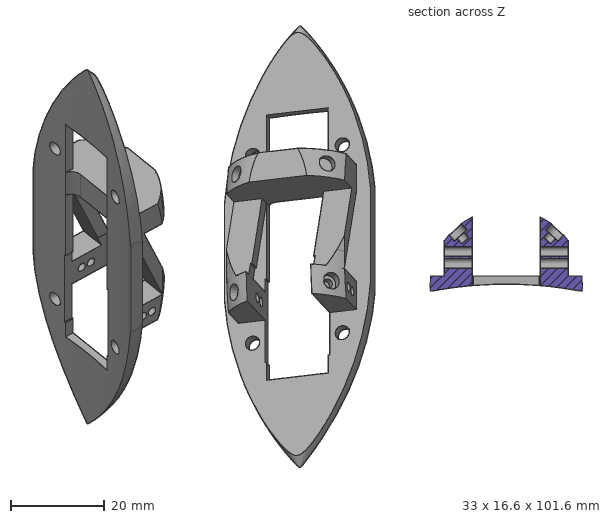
import cadquery as cq
import math

hull_axis_y = -2.03
hull_max_radius = 16.81
hull_straight_half = 6.2
hull_arc_radius = 68.29

plate_width = 33.02
plate_length = 101.6
edge_thickness = 3.302
centre_thickness = 1.8
land_inner_x = 15.9
mount_hole_diameter = 3.175
mount_hole_x = 10.16
mount_hole_z = 21.59

window_half_width = 6.985
window_half_height = 30.48
relief_half_width = 7.3
relief_top_z = -7.2
relief_bottom_z = -26.4

arm_half_width = 13.335
arm_back_y = 13.335
arm_inner_z = 10.16
arm_outer_z = 16.66
arm_height = arm_outer_z - arm_inner_z
arm_mid_z = (arm_inner_z + arm_outer_z) / 2
arm_fillet_radius = 2.45
brace_front_reach = 8.15
brace_depth = 3.05

pocket_diameter = 3.6
pocket_depth = 1.9
upper_pocket_angle = 51
lower_pocket_angle = 47.5
pilot_diameter = 2.03
pilot_depth = 1.5
cross_hole_diameter = 2.03
cross_hole_ys = (2.7, 5.24)


def block(x_range, y_range, z_range):
    """Axis-aligned box between the given limits."""
    (x0, x1), (y0, y1), (z0, z1) = x_range, y_range, z_range
    return cq.Workplane("XY").box(x1 - x0, y1 - y0, z1 - z0, centered=False).translate((x0, y0, z0))


def hull_radius(z):
    """Hull radius at height z."""
    along_arc = max(abs(z) - hull_straight_half, 0)
    return hull_max_radius - hull_arc_radius + math.sqrt(hull_arc_radius**2 - along_arc**2)


def make_hull():
    tip_rise = math.sqrt(hull_arc_radius**2 - (hull_arc_radius - hull_max_radius) ** 2)
    tip_z = hull_straight_half + tip_rise
    middle_z = (hull_straight_half + tip_z) / 2
    arc_middle = (hull_radius(middle_z), middle_z)
    profile = (
        cq.Workplane("XZ")
        .moveTo(0, -tip_z)
        .threePointArc((arc_middle[0], -arc_middle[1]), (hull_max_radius, -hull_straight_half))
        .lineTo(hull_max_radius, hull_straight_half)
        .threePointArc(arc_middle, (0, tip_z))
        .close()
    )
    return profile.revolve(360, (0, 0, 0), (0, 1, 0)).translate((0, hull_axis_y, 0))


def make_front_section():
    """XY section of the plate: flat back, concave front with a flat land at each side."""
    half_width = plate_width / 2
    return (
        cq.Workplane("XY", origin=(0, 0, -plate_length / 2))
        .moveTo(-half_width, 0)
        .lineTo(-half_width, -edge_thickness)
        .lineTo(-land_inner_x, -edge_thickness)
        .threePointArc((0, -centre_thickness), (land_inner_x, -edge_thickness))
        .lineTo(half_width, -edge_thickness)
        .lineTo(half_width, 0)
        .close()
        .extrude(plate_length)
    )


def make_plate():
    window = block(
        (-window_half_width, window_half_width),
        (-edge_thickness, 0),
        (-window_half_height, window_half_height),
    )
    mount_holes = (
        cq.Workplane("XZ")
        .rect(2 * mount_hole_x, 2 * mount_hole_z, forConstruction=True)
        .vertices()
        .circle(mount_hole_diameter / 2)
        .extrude(edge_thickness)
    )
    return make_front_section().cut(window).cut(mount_holes)


def make_arm_fillet(side):
    """Concave fillet between the upper arm and one window side, trimmed to the plate section."""
    r = arm_fillet_radius
    wall_x = side * window_half_width
    centre_x = side * (window_half_width - r)
    arc_middle = (centre_x + side * r * math.cos(math.pi / 4), -r + r * math.cos(math.pi / 4))
    fillet = (
        cq.Workplane("XY", origin=(0, 0, arm_inner_z))
        .moveTo(wall_x, 0)
        .lineTo(centre_x, 0)
        .threePointArc(arc_middle, (wall_x, -r))
        .close()
        .extrude(arm_height)
    )
    return fillet.intersect(make_front_section())


def make_upper_arm():
    return block(
        (-arm_half_width, arm_half_width), (0, arm_back_y), (arm_inner_z, arm_outer_z)
    )


def make_side_frame(side):
    """Lower arm on one side and the sloping brace joining it to the upper arm."""
    x_range = sorted((side * window_half_width, side * arm_half_width))
    lower_arm = block(x_range, (0, arm_back_y), (-arm_outer_z, -arm_inner_z))
    brace_outline = [
        (0, arm_inner_z),
        (brace_depth, arm_inner_z),
        (brace_front_reach + brace_depth, -arm_inner_z),
        (brace_front_reach, -arm_inner_z),
    ]
    brace = (
        cq.Workplane("YZ", origin=(x_range[0], 0, 0))
        .polyline(brace_outline)
        .close()
        .extrude(x_range[1] - x_range[0])
    )
    return lower_arm.union(brace)


def radial_hole(side, angle, z, diameter, depth):
    """Round hole from outside the hull to the given depth, pointing at the hull axis."""
    direction = cq.Vector(side * math.cos(math.radians(angle)), math.sin(math.radians(angle)), 0)
    floor_centre = cq.Vector(0, hull_axis_y, z) + direction * (hull_radius(z) - depth)
    return cq.Workplane(cq.Solid.makeCylinder(diameter / 2, 2 * depth, floor_centre, direction))


def cut_arm_holes(part):
    for side in (-1, 1):
        part = part.cut(radial_hole(side, upper_pocket_angle, arm_mid_z, pocket_diameter, pocket_depth))
        part = part.cut(radial_hole(side, lower_pocket_angle, -arm_mid_z, pocket_diameter, pocket_depth))
        pilot_total = pocket_depth + pilot_depth
        part = part.cut(radial_hole(side, lower_pocket_angle, -arm_mid_z, pilot_diameter, pilot_total))
    cross_holes = (
        cq.Workplane("YZ")
        .pushPoints([(y, -arm_mid_z) for y in cross_hole_ys])
        .circle(cross_hole_diameter / 2)
        .extrude(arm_half_width, both=True)
    )
    return part.cut(cross_holes)


def make_part():
    part = make_plate().union(make_upper_arm())
    for side in (-1, 1):
        part = part.union(make_side_frame(side)).union(make_arm_fillet(side))
    relief = block(
        (-relief_half_width, relief_half_width),
        (-edge_thickness, arm_back_y),
        (relief_bottom_z, relief_top_z),
    )
    part = part.cut(relief).intersect(make_hull())
    return cut_arm_holes(part)


result = make_part()